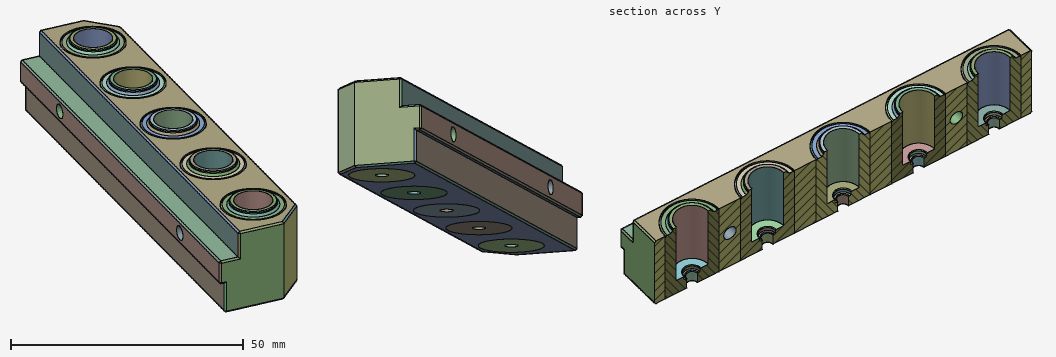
import cadquery as cq

length = 100.0
height = 19.0
upper_depth = 16.7
tongue_depth = 21.2
lower_depth = 20.0
tongue_mid_height = 10.0
tongue_thickness = 5.6
tongue_bottom = tongue_mid_height - tongue_thickness / 2
tongue_top = tongue_mid_height + tongue_thickness / 2
corner_cut = 6.0
edge_chamfer = 0.4

mount_hole_diameter = 3.2
mount_hole_inset = 20.0

bushing_count = 5
bushing_pitch = length / bushing_count
bushing_y = -8.5
bushing_diameter = 14.2
bushing_rim_chamfer = 0.4

boss_diameter = 10.4
boss_height = 1.0
boss_root_size = 0.5
boss_top_chamfer = 0.2
boss_top = height + boss_height

bore_diameter = 8.4
floor_thickness = 4.0
recess_diameter = 4.1
recess_depth = 1.0
recess_bottom = floor_thickness - recess_depth
outlet_diameter = 2.8
mouth_chamfer = 0.2


def is_chamfered(edge):
    """True for every bar edge but the step's two inner corners and the cut corners' uprights."""
    middle = edge.Center()
    inner_corners = [(-upper_depth, tongue_top), (-lower_depth, tongue_bottom)]
    for y, z in inner_corners:
        if abs(middle.x - length / 2) < edge_chamfer:
            if abs(middle.y - y) < edge_chamfer and abs(middle.z - z) < edge_chamfer:
                return False
    is_upright = edge.BoundingBox().zlen > height - edge_chamfer
    return not (is_upright and middle.y > -corner_cut - edge_chamfer)


def make_bar():
    """Stepped bar with its two back corners cut at 45 degrees and its outer edges chamfered."""
    profile = [
        (0, 0),
        (0, height),
        (-upper_depth, height),
        (-upper_depth, tongue_top),
        (-tongue_depth, tongue_top),
        (-tongue_depth, tongue_bottom),
        (-lower_depth, tongue_bottom),
        (-lower_depth, 0),
    ]
    bar = cq.Workplane("YZ").polyline(profile).close().extrude(length)
    bar = bar.edges("|Z and >Y").chamfer(corner_cut)
    outer_edges = [edge for edge in bar.edges().vals() if is_chamfered(edge)]
    return bar.newObject(outer_edges).chamfer(edge_chamfer)


def turn(profile, x):
    """Solid turned from (radius, Z) points about the vertical axis of the bushing at x."""
    solid = cq.Workplane("XZ").polyline(profile).close().revolve(360, (0, 0), (0, 1))
    return solid.translate((x, bushing_y, 0))


def bushing_outline():
    """Outer half profile of a bushing, from its axis at the underside to its axis at the boss top."""
    rim_radius = bushing_diameter / 2
    boss_radius = boss_diameter / 2
    return [
        (0, 0),
        (rim_radius, 0),
        (rim_radius, height - bushing_rim_chamfer),
        (rim_radius - bushing_rim_chamfer, height),
        (boss_radius + boss_root_size, height),
        (boss_radius, height + boss_root_size),
        (boss_radius, boss_top - boss_top_chamfer),
        (boss_radius - boss_top_chamfer, boss_top),
        (0, boss_top),
    ]


def bore_outline():
    """Half profile of the stepped bore, with chamfered mouths on the recess and the outlet."""
    outlet_radius = outlet_diameter / 2
    recess_radius = recess_diameter / 2
    bore_radius = bore_diameter / 2
    return [
        (0, 0),
        (outlet_radius, 0),
        (outlet_radius, recess_bottom - mouth_chamfer),
        (outlet_radius + mouth_chamfer, recess_bottom),
        (recess_radius, recess_bottom),
        (recess_radius, floor_thickness - mouth_chamfer),
        (recess_radius + mouth_chamfer, floor_thickness),
        (bore_radius, floor_thickness),
        (bore_radius, boss_top),
        (0, boss_top),
    ]


def make_bushing(x):
    return turn(bushing_outline(), x).cut(turn(bore_outline(), x))


def cut_bushing_seats(housing):
    """Straight holes through the housing, each as wide as a bushing."""
    seats = (
        cq.Workplane("XY")
        .pushPoints([(x, bushing_y) for x in bushing_xs])
        .circle(bushing_diameter / 2)
        .extrude(height)
    )
    return housing.cut(seats)


def cut_mount_holes(housing):
    mount_xs = (mount_hole_inset, length - mount_hole_inset)
    holes = (
        cq.Workplane("XZ")
        .pushPoints([(x, tongue_mid_height) for x in mount_xs])
        .circle(mount_hole_diameter / 2)
        .extrude(tongue_depth)
    )
    return housing.cut(holes)


bushing_xs = [bushing_pitch * (i + 0.5) for i in range(bushing_count)]

housing = cut_mount_holes(cut_bushing_seats(make_bar()))
bushings = [make_bushing(x) for x in bushing_xs]

result = cq.Compound.makeCompound([housing.val(), *(bushing.val() for bushing in bushings)])